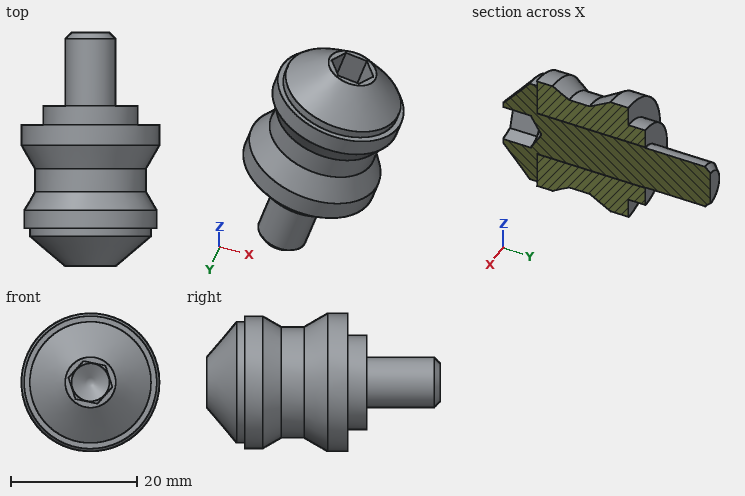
import cadquery as cq
import math


front_flange_diameter = 21.0
rear_flange_diameter = 21.9
neck_diameter = 17.6
collar_diameter = 15.0
front_flange_width = 2.85
neck_width = 3.65
rear_flange_width = 3.2
collar_width = 3.0
flank_angle = 30.0

bolt_length = 37.0
stud_diameter = 8.0
stud_chamfer = 1.0
head_diameter = 19.2
head_length = 6.0
head_rim_width = 1.25
nose_diameter = 8.0

socket_sides = 6
socket_across_flats = 6.15
drill_diameter = 6.0
socket_depth = 5.0
socket_turn = -12.0
drill_point_angle = 118.0


def revolve_about_y(profile):
    """Turn a closed (radius, Y) outline fully about the Y axis."""
    return cq.Workplane("XY").polyline(profile).close().revolve(360, (0, 0, 0), (0, 1, 0))


def flank_width(flange_diameter):
    """Axial width of the cone between a flange and the neck."""
    return (flange_diameter - neck_diameter) / 2 / math.tan(math.radians(flank_angle))


def make_sleeve():
    """Spool with two unequal flanges and a rear collar, seated against the bolt head."""
    bore_radius = stud_diameter / 2
    front_radius = front_flange_diameter / 2
    rear_radius = rear_flange_diameter / 2
    neck_radius = neck_diameter / 2
    collar_radius = collar_diameter / 2

    front_flange_end = head_length + front_flange_width
    neck_start = front_flange_end + flank_width(front_flange_diameter)
    neck_end = neck_start + neck_width
    rear_flange_start = neck_end + flank_width(rear_flange_diameter)
    rear_flange_end = rear_flange_start + rear_flange_width
    collar_end = rear_flange_end + collar_width

    return revolve_about_y([
        (bore_radius, head_length),
        (front_radius, head_length),
        (front_radius, front_flange_end),
        (neck_radius, neck_start),
        (neck_radius, neck_end),
        (rear_radius, rear_flange_start),
        (rear_radius, rear_flange_end),
        (collar_radius, rear_flange_end),
        (collar_radius, collar_end),
        (bore_radius, collar_end),
    ])


def make_socket_cutter():
    """Hexagonal prism with a conical drill point at its inner end."""
    corner_diameter = socket_across_flats / math.cos(math.pi / socket_sides)
    drill_radius = drill_diameter / 2
    drill_tip_depth = drill_radius / math.tan(math.radians(drill_point_angle / 2))

    hexagon = (
        cq.Workplane("XZ")
        .polygon(socket_sides, corner_diameter)
        .extrude(-socket_depth)
        .rotate((0, 0, 0), (0, 1, 0), -socket_turn)
    )
    drill_point = revolve_about_y([
        (0, socket_depth),
        (drill_radius, socket_depth),
        (0, socket_depth + drill_tip_depth),
    ])
    return hexagon.union(drill_point)


def make_bolt():
    """Cone-headed bolt with a chamfered stud and a hexagon socket."""
    nose_radius = nose_diameter / 2
    head_radius = head_diameter / 2
    stud_radius = stud_diameter / 2

    body = revolve_about_y([
        (0, 0),
        (nose_radius, 0),
        (head_radius, head_length - head_rim_width),
        (head_radius, head_length),
        (stud_radius, head_length),
        (stud_radius, bolt_length - stud_chamfer),
        (stud_radius - stud_chamfer, bolt_length),
        (0, bolt_length),
    ])
    return body.cut(make_socket_cutter())


sleeve = make_sleeve()
bolt = make_bolt()

result = cq.Compound.makeCompound([sleeve.val(), bolt.val()])